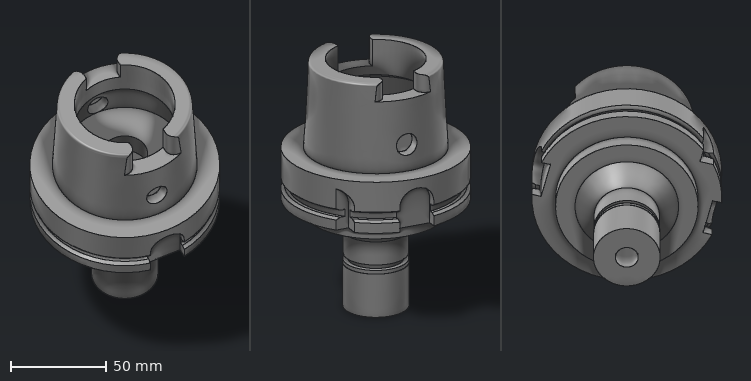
import cadquery as cq
import math


taper_height = 50.0
taper_base_radius = 38.1
taper_slope = 1 / 20
taper_tip_radius = taper_base_radius - taper_slope * taper_height
tip_fillet = 2.0

flange_radius = 50.0
flange_thickness = 29.0
groove_center_z = -20.15
groove_floor_radius = 46.0
groove_half_width = 2.0
groove_lip_depth = 2.0
groove_lip_height = groove_lip_depth * math.tan(math.radians(30))

hub_radius = 37.5
hub_bottom_z = -37.2
nose_radius = 17.25
cone_height = 10.0
cone_top_radius = nose_radius + cone_height
nose_top_z = hub_bottom_z - cone_height
nose_bottom_z = -60.3
neck_radius = 14.7

nut_radius = 17.55
nut_top_z = -63.3
nut_bottom_z = -90.0
nut_collar_height = 2.1
nut_collar_step = 0.1
nut_collar_radius = nut_radius - nut_collar_step

cross_hole_radius = 6.0
cross_hole_z = 14.75

mouth_radius = 26.5
mouth_depth = 20.0
chamber_radius = 31.5
chamber_floor_z = cross_hole_z - cross_hole_radius
clamping_angle = 60.0
clamping_cone_height = (chamber_radius - mouth_radius) / math.tan(math.radians(clamping_angle))
socket_radius = 12.0
socket_depth = 12.0
through_radius = 6.0

notch_width = 20.0
notch_corner_radius = 5.0
left_notch_depth = 10.0
right_notch_depth = 15.0
notch_outer_radius = taper_tip_radius + taper_slope * left_notch_depth

slot_radius = 10.0
slot_top_z = -5.3
drive_slot_floor_x = 44.0
index_slot_floor_x = 31.6
index_slot_center_y = 41.5


def cylinder(radius, bottom_z, top_z):
    return cq.Workplane("XY").workplane(offset=bottom_z).circle(radius).extrude(top_z - bottom_z)


def outer_shape():
    groove_top_z = groove_center_z + groove_half_width
    groove_bottom_z = groove_center_z - groove_half_width
    lip_radius = flange_radius - groove_lip_depth
    outline = [
        (0, taper_height),
        (taper_tip_radius, taper_height),
        (taper_base_radius, 0),
        (flange_radius, 0),
        (flange_radius, groove_top_z + groove_lip_height),
        (lip_radius, groove_top_z),
        (groove_floor_radius, groove_top_z),
        (groove_floor_radius, groove_bottom_z),
        (lip_radius, groove_bottom_z),
        (flange_radius, groove_bottom_z - groove_lip_height),
        (flange_radius, -flange_thickness),
        (hub_radius, -flange_thickness),
        (hub_radius, hub_bottom_z),
        (cone_top_radius, hub_bottom_z),
        (nose_radius, nose_top_z),
        (nose_radius, nose_bottom_z),
        (neck_radius, nose_bottom_z),
        (neck_radius, nut_top_z),
        (0, nut_top_z),
    ]
    body = cq.Workplane("XZ").polyline(outline).close().revolve(360, (0, 0), (0, 1))
    return body.faces(">Z").edges().fillet(tip_fillet)


def inner_cavity():
    clamping_top_z = taper_height - mouth_depth
    socket_floor_z = chamber_floor_z - socket_depth
    outline = [
        (0, taper_height),
        (mouth_radius, taper_height),
        (mouth_radius, clamping_top_z),
        (chamber_radius, clamping_top_z - clamping_cone_height),
        (chamber_radius, chamber_floor_z),
        (socket_radius, chamber_floor_z),
        (socket_radius, socket_floor_z),
        (through_radius, socket_floor_z),
        (through_radius, nut_top_z),
        (0, nut_top_z),
    ]
    return cq.Workplane("XZ").polyline(outline).close().revolve(360, (0, 0), (0, 1))


def drive_notch(side, depth):
    """Notch through the tip wall, flaring where it leaves the tapered outside."""
    floor_z = taper_height - depth
    half_width = notch_width / 2
    flare_center_y = half_width + notch_corner_radius
    flare_center_x = math.sqrt((notch_outer_radius - notch_corner_radius) ** 2 - flare_center_y**2)
    reach = flange_radius
    mid = notch_corner_radius * math.sqrt(0.5)
    flare_end_x = flare_center_x + notch_corner_radius
    outline = (
        cq.Workplane("XY")
        .workplane(offset=floor_z)
        .moveTo(0, -half_width)
        .lineTo(side * flare_center_x, -half_width)
        .threePointArc(
            (side * (flare_center_x + mid), -flare_center_y + mid),
            (side * flare_end_x, -flare_center_y),
        )
        .lineTo(side * flare_end_x, -reach)
        .lineTo(side * reach, -reach)
        .lineTo(side * reach, reach)
        .lineTo(side * flare_end_x, reach)
        .lineTo(side * flare_end_x, flare_center_y)
        .threePointArc(
            (side * (flare_center_x + mid), flare_center_y - mid),
            (side * flare_center_x, half_width),
        )
        .lineTo(0, half_width)
        .close()
    )
    return outline.extrude(depth)


def rim_slot(side, floor_x, center_y):
    """Slot with a round top, open at the flange underside, cut along X down to a flat floor."""
    arch_z = slot_top_z - slot_radius
    profile = (
        cq.Workplane("YZ")
        .workplane(offset=side * floor_x)
        .moveTo(center_y - slot_radius, -flange_thickness)
        .lineTo(center_y - slot_radius, arch_z)
        .threePointArc((center_y, slot_top_z), (center_y + slot_radius, arch_z))
        .lineTo(center_y + slot_radius, -flange_thickness)
        .close()
    )
    return profile.extrude(side * flange_radius)


def make_holder():
    holder = outer_shape().cut(inner_cavity())
    holder = holder.cut(drive_notch(-1, left_notch_depth))
    holder = holder.cut(drive_notch(1, right_notch_depth))
    cross_hole = (
        cq.Workplane("YZ")
        .center(0, cross_hole_z)
        .circle(cross_hole_radius)
        .extrude(flange_radius, both=True)
    )
    holder = holder.cut(cross_hole)
    for side in (-1, 1):
        holder = holder.cut(rim_slot(side, drive_slot_floor_x, 0))
    return holder.cut(rim_slot(-1, index_slot_floor_x, index_slot_center_y))


def make_nut():
    collar_bottom_z = nut_top_z - nut_collar_height
    nut = cylinder(nut_radius, nut_bottom_z, collar_bottom_z)
    nut = nut.union(cylinder(nut_collar_radius, collar_bottom_z, nut_top_z))
    return nut.cut(cylinder(through_radius, nut_bottom_z, nut_top_z))


holder = make_holder()
nut = make_nut()
result = cq.Compound.makeCompound([*holder.solids().vals(), *nut.solids().vals()])